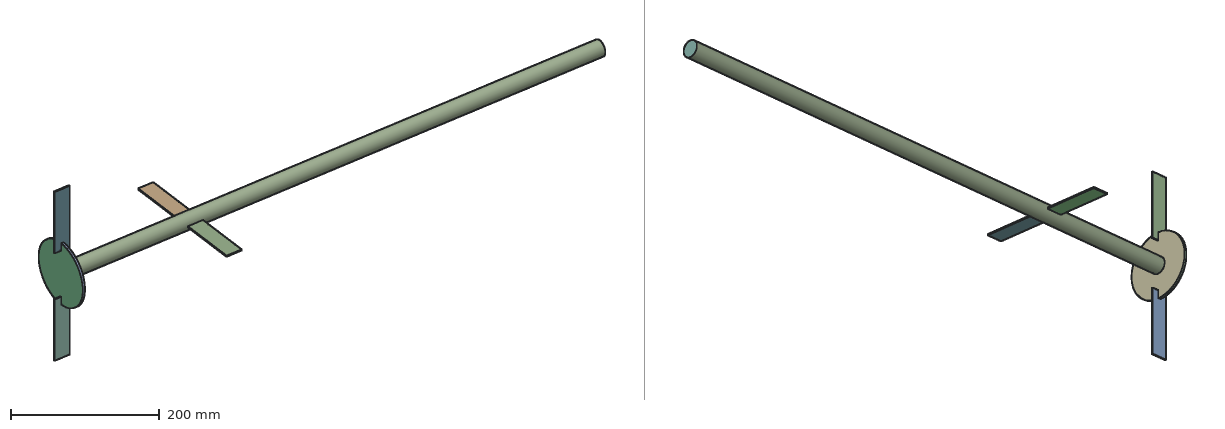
import cadquery as cq

rod_diameter = 25.4
rod_length = 900.0

disc_diameter = 100.0
disc_thickness = 4.0

blade_width = 25.4
blade_thickness = 2.0
fin_length = 100.0
fin_root_height = 37.7
wing_span = 200.0
wing_to_disc_gap = 200.0

rod_radius = rod_diameter / 2
rod_start = disc_thickness / 2
wing_length = wing_span / 2 - rod_radius
wing_center_x = rod_radius + wing_length / 2
wing_center_y = rod_start + wing_to_disc_gap + blade_width / 2
fin_center_z = fin_root_height + fin_length / 2


def cylinder_along_y(diameter, length, start):
    """Solid cylinder on the Y axis, running from start toward +Y."""
    workplane = cq.Workplane("XZ", origin=(0, start, 0))
    return workplane.circle(diameter / 2).extrude(-length)


def make_fin(side):
    """Vertical blade overlapping the disc rim: side is 1 above, -1 below."""
    fin = cq.Workplane("XY").box(blade_thickness, blade_width, fin_length)
    return fin.translate((0, 0, side * fin_center_z))


def make_shaft():
    """Rod, tail disc and both fins as one solid."""
    shaft = cylinder_along_y(rod_diameter, rod_length, rod_start)
    disc = cylinder_along_y(disc_diameter, disc_thickness, -disc_thickness / 2)
    shaft = shaft.union(disc)
    for side in (1, -1):
        shaft = shaft.union(make_fin(side))
    return shaft


def make_wing(side):
    """Horizontal blade whose root touches the side of the rod: side is 1 for +X, -1 for -X."""
    wing = cq.Workplane("XY").box(wing_length, blade_width, blade_thickness)
    return wing.translate((side * wing_center_x, wing_center_y, 0))


shaft = make_shaft()
wings = [make_wing(side).val() for side in (1, -1)]

result = cq.Compound.makeCompound([shaft.val(), *wings])